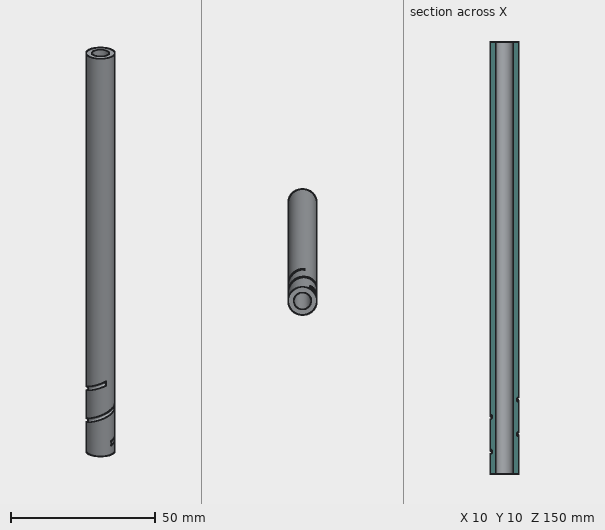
import cadquery as cq

length = 150.0
outer_diameter = 10.0
bore_diameter = 6.0
outer_radius = outer_diameter / 2

groove_radius = 0.8
groove_pitch = 12.0
groove_start_height = 4.2
groove_start_angle = -20.0
groove_end_angle = 676.0
full_turn = 360.0


def make_tube():
    """Straight tube with a through bore."""
    return cq.Workplane("XY").circle(outer_radius).circle(bore_diameter / 2).extrude(length)


def make_groove_cutter():
    """Round section swept along a helix on the outer surface."""
    turns = (groove_end_angle - groove_start_angle) / full_turn
    helix = cq.Wire.makeHelix(groove_pitch, groove_pitch * turns, outer_radius)
    cutter = (
        cq.Workplane("XZ")
        .center(outer_radius, 0)
        .circle(groove_radius)
        .sweep(cq.Workplane(helix), isFrenet=True)
    )
    turned_cutter = cutter.rotate((0, 0, 0), (0, 0, 1), groove_start_angle)
    return turned_cutter.translate((0, 0, groove_start_height))


result = make_tube().cut(make_groove_cutter())